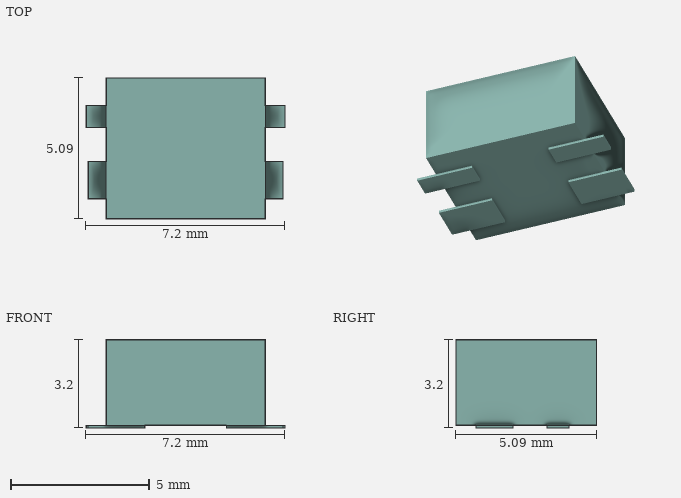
import cadquery as cq

overall_length = 7.2
body_length = 5.76
body_width = 5.09
overall_height = 3.2
lead_thickness = 0.1
body_height = overall_height - lead_thickness

lead_inner_x = 1.475
narrow_lead_outer_x = overall_length / 2
narrow_lead_width = 0.8
narrow_lead_y = 1.15
wide_lead_outer_x = 3.53
wide_lead_width = 1.35
wide_lead_y = -1.145


def make_housing():
    """Plain block resting on top of the leads."""
    return (
        cq.Workplane("XY")
        .workplane(offset=lead_thickness)
        .rect(body_length, body_width)
        .extrude(body_height)
    )


def make_lead(side, outer_x, width, center_y):
    """Flat strip under the housing; side is -1 for the -X end and +1 for the +X end."""
    center_x = side * (lead_inner_x + outer_x) / 2
    return (
        cq.Workplane("XY")
        .center(center_x, center_y)
        .rect(outer_x - lead_inner_x, width)
        .extrude(lead_thickness)
    )


housing = make_housing()

narrow_leads = []
wide_leads = []
for side in (-1, 1):
    narrow_leads.append(make_lead(side, narrow_lead_outer_x, narrow_lead_width, narrow_lead_y))
    wide_leads.append(make_lead(side, wide_lead_outer_x, wide_lead_width, wide_lead_y))

leads = [lead.val() for lead in narrow_leads + wide_leads]
result = cq.Compound.makeCompound([housing.val(), *leads])